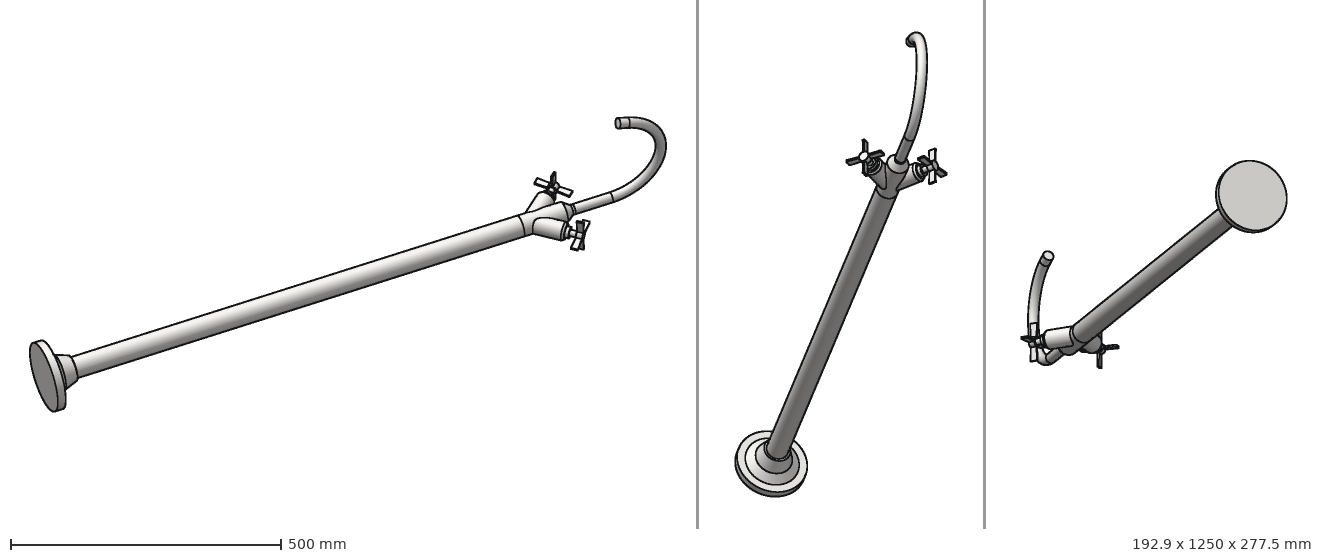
import cadquery as cq
import math

overall_length = 1250.0

flange_radius = 134.0 / 2
flange_thickness = 16.0
flange_height = 58.0
skirt_foot_radius = 51.0
skirt_mid_radius = 35.0
skirt_mid_height = 30.0
skirt_top_radius = 25.0

column_radius = 41.0 / 2
column_top = 958.0
shoulder_start = 1045.0
shoulder_end = 1060.0
neck_length = 5.0

housing_top = shoulder_end + neck_length

branch_angle = 41.0
branch_root = 978.0
branch_radius = 36.0 / 2
branch_length = 65.0
branch_tip_radius = 15.0
branch_tip_length = 5.0

spout_radius = 10.0
bend_start = 1140.0
bend_radius = overall_length - spout_radius - bend_start
bend_end_angle = 19.0
outlet_length = 20.0

handle_distance = 98.0
spoke_span = 73.0
spoke_hub_width = 11.0
spoke_tip_width = 14.0
spoke_thickness = 4.0
hub_radius = 10.0
hub_height = 13.0
stem_radius = 6.0
collar_radius = 11.0
collar_height = 8.0


def along_y(radius, start, end):
    """Round bar on the column axis between two heights."""
    return cq.Workplane("XZ", origin=(0, start, 0)).circle(radius).extrude(start - end)


def make_flange():
    profile = (
        cq.Workplane("XY")
        .lineTo(flange_radius, 0)
        .lineTo(flange_radius, flange_thickness)
        .lineTo(skirt_foot_radius, flange_thickness)
        .lineTo(skirt_mid_radius, skirt_mid_height)
        .lineTo(skirt_top_radius, flange_height)
        .lineTo(0, flange_height)
        .close()
    )
    return profile.revolve(360, (0, 0, 0), (0, 1, 0))


def branch_plane(side):
    """Plane square to a branch, its origin on the column axis and its x direction along Z."""
    angle = math.radians(branch_angle)
    axis = (side * math.sin(angle), math.cos(angle), 0)
    return cq.Plane(origin=(0, branch_root, 0), xDir=(0, 0, 1), normal=axis)


def make_branch(side):
    plane = branch_plane(side)
    barrel = cq.Workplane(plane).circle(branch_radius).extrude(branch_length)
    tip = (
        cq.Workplane(plane)
        .workplane(offset=branch_length)
        .circle(branch_radius)
        .workplane(offset=branch_tip_length)
        .circle(branch_tip_radius)
        .loft()
    )
    return barrel.union(tip)


def make_housing():
    profile = (
        cq.Workplane("XY", origin=(0, column_top, 0))
        .lineTo(column_radius, 0)
        .lineTo(column_radius, shoulder_start - column_top)
        .lineTo(spout_radius, shoulder_end - column_top)
        .lineTo(spout_radius, housing_top - column_top)
        .lineTo(0, housing_top - column_top)
        .close()
    )
    housing = profile.revolve(360, (0, 0, 0), (0, 1, 0))
    for side in (-1, 1):
        housing = housing.union(make_branch(side))
    return housing


def make_bend():
    turn = 180 - bend_end_angle
    return (
        cq.Workplane("XZ", origin=(0, bend_start, 0))
        .circle(spout_radius)
        .revolve(turn, (-13, bend_radius, 0), (13, bend_radius, 0))
    )


def make_outlet():
    slope = math.radians(bend_end_angle)
    end = (
        0,
        bend_start + bend_radius * math.sin(slope),
        bend_radius * (1 + math.cos(slope)),
    )
    direction = (0, -math.cos(slope), math.sin(slope))
    plane = cq.Plane(origin=end, xDir=(1, 0, 0), normal=direction)
    return cq.Workplane(plane).circle(spout_radius).extrude(outlet_length)


def make_spoke_pair(side, turn):
    """Two opposite flat spokes that widen towards their tips, turned about the branch axis."""
    half_span = spoke_span / 2
    half_hub = spoke_hub_width / 2
    half_tip = spoke_tip_width / 2
    plane = branch_plane(side).rotated((0, 0, turn))
    across = cq.Plane(
        origin=plane.origin + plane.zDir * handle_distance, xDir=plane.xDir, normal=plane.yDir
    )
    outline = [
        (0, half_hub),
        (half_span, half_tip),
        (half_span, -half_tip),
        (0, -half_hub),
        (-half_span, -half_tip),
        (-half_span, half_tip),
    ]
    return cq.Workplane(across).polyline(outline).close().extrude(spoke_thickness / 2, both=True)


def make_handle(side):
    plane = branch_plane(side)
    middle = cq.Workplane(plane).workplane(offset=handle_distance)
    handle = middle.circle(hub_radius).extrude(hub_height / 2, both=True)
    for turn in (0, 90):
        handle = handle.union(make_spoke_pair(side, turn))
    foot = cq.Workplane(plane).workplane(offset=branch_length + branch_tip_length)
    collar = foot.circle(collar_radius).extrude(collar_height)
    stem = foot.circle(stem_radius).extrude(handle_distance - branch_length - branch_tip_length)
    return handle.union(collar).union(stem)


flange = make_flange()
column = along_y(column_radius, flange_height, column_top)
housing = make_housing()
riser = along_y(spout_radius, housing_top, bend_start)
bend = make_bend()
outlet = make_outlet()
handles = [make_handle(side) for side in (-1, 1)]

result = cq.Compound.makeCompound(
    [
        flange.val(),
        column.val(),
        housing.val(),
        riser.val(),
        bend.val(),
        outlet.val(),
        *[handle.val() for handle in handles],
    ]
)